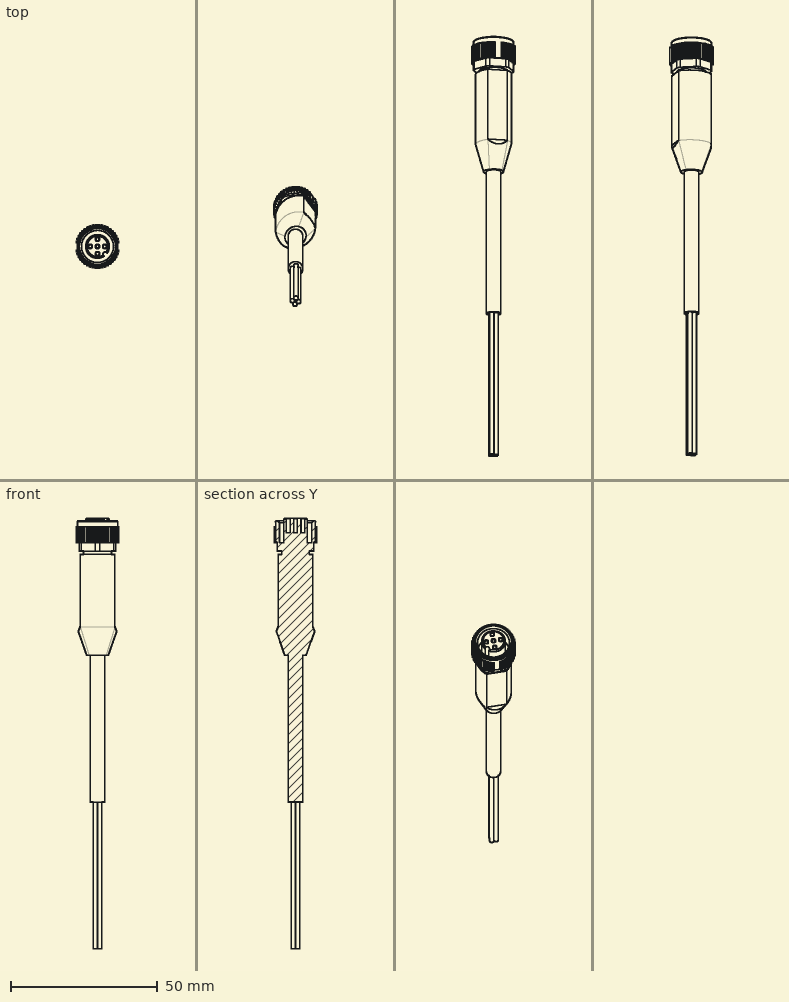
import cadquery as cq
import math


total_length = 146.8
collar_top = -0.9
knurl_top = -2.9
knurl_bottom = -8.4
nut_bottom = -11.25
grip_top = -12.4
grip_bottom = -37.0
cable_length = 50.0
wire_length = 50.0
wire_top = -total_length + wire_length
cable_top = wire_top + cable_length

insert_diameter = 8.05
insert_face_diameter = 7.05
insert_chamfer = (insert_diameter - insert_face_diameter) / 2
outer_contact_count = 4
contact_circle_radius = 2.5
contact_diameter = 1.15
contact_mouth_diameter = 1.5
contact_chamfer = (contact_mouth_diameter - contact_diameter) / 2
contact_depth = 5.0
key_diameter = 1.5
key_radius = 3.7
key_angle = -45

collar_diameter = 13.8
collar_chamfer = 0.3
thread_diameter = 10.92
mouth_diameter = 12.3
mouth_chamfer = (mouth_diameter - thread_diameter) / 2
thread_bottom = knurl_bottom
hex_sides = 6
hex_across_flats = 12.6

knurl_diameter = 14.895
knurl_span_x = 14.62
teeth_per_side = 20
tooth_tip_width = 0.4
tooth_half_tip = math.asin(tooth_tip_width / knurl_diameter)
tip_radius = knurl_diameter / 2
root_radius = collar_diameter / 2
plain_half_angle = math.acos(knurl_span_x / 2 / tip_radius)
tooth_pitch = (math.pi - 2 * plain_half_angle - 2 * tooth_half_tip) / (teeth_per_side - 1)

neck_diameter = 9.6
grip_half_width = 5.93
grip_half_depth = 6.1
grip_corner_y = 3.45
relief_top_half_width = 7.2
relief_bottom_corner_x = 2.85
relief_bottom_corner_y = 2.2
relief_bottom_half_width = 3.7
relief_bottom_half_depth = 3.4
ledge_drop = 1.5
ledge_run = 0.58

cable_diameter = 5.0
wire_diameter = 1.5
wire_gap = 0.02
wire_pitch = wire_diameter + wire_gap


def cylinder(diameter, bottom, top):
    """Solid cylinder on the Z axis between two heights."""
    return cq.Workplane("XY").workplane(offset=bottom).circle(diameter / 2).extrude(top - bottom)


def cone(bottom_diameter, top_diameter, bottom, top):
    """Solid truncated cone on the Z axis between two heights."""
    return (
        cq.Workplane("XY")
        .workplane(offset=bottom)
        .circle(bottom_diameter / 2)
        .workplane(offset=top - bottom)
        .circle(top_diameter / 2)
        .loft(ruled=True)
    )


def polar(radius, angle):
    """X and Y of a point at a radius and an angle in radians."""
    return (radius * math.cos(angle), radius * math.sin(angle))


def knurl():
    """Ring of flat-tipped teeth on the +Y and -Y sides with plain gaps at +X and -X."""
    points = []
    for side_angle in (math.pi / 2, -math.pi / 2):
        for i in range(teeth_per_side):
            angle = side_angle + (i - (teeth_per_side - 1) / 2) * tooth_pitch
            points.append(polar(root_radius, angle - tooth_pitch / 2))
            points.append(polar(tip_radius, angle - tooth_half_tip))
            points.append(polar(tip_radius, angle + tooth_half_tip))
        points.append(polar(root_radius, angle + tooth_pitch / 2))
    plane = cq.Workplane("XY").workplane(offset=knurl_bottom)
    return plane.polyline(points).close().extrude(knurl_top - knurl_bottom)


def coupling_nut():
    """Knurled collar with a plain bore at the thread diameter above a hexagon with rounded corners."""
    collar = cylinder(collar_diameter, knurl_bottom, collar_top).faces(">Z").chamfer(collar_chamfer)
    hexagon = (
        cq.Workplane("XY")
        .workplane(offset=nut_bottom)
        .polygon(hex_sides, hex_across_flats, circumscribed=True)
        .extrude(knurl_bottom - nut_bottom)
        .intersect(cylinder(collar_diameter, nut_bottom, knurl_bottom))
    )
    bore = cylinder(thread_diameter, thread_bottom, collar_top)
    mouth = cone(thread_diameter, mouth_diameter, collar_top - mouth_chamfer, collar_top)
    return collar.union(knurl()).union(hexagon).cut(bore).cut(mouth)


def contact_insert():
    """Five-pole insert with a keyway on its rim."""
    insert = cylinder(insert_diameter, thread_bottom, 0).faces(">Z").chamfer(insert_chamfer)
    contact = cylinder(contact_diameter, -contact_depth, 0).union(
        cone(contact_diameter, contact_mouth_diameter, -contact_chamfer, 0)
    )
    contacts = contact
    for i in range(outer_contact_count):
        x, y = polar(contact_circle_radius, 2 * math.pi * i / outer_contact_count)
        contacts = contacts.union(contact.translate((x, y, 0)))
    keyway = (
        cq.Workplane("XY")
        .center(key_radius, 0)
        .circle(key_diameter / 2)
        .extrude(thread_bottom)
        .rotate((0, 0, 0), (0, 0, 1), key_angle)
    )
    return insert.cut(contacts).cut(keyway)


def draw_four_arcs(plane, corner_x, corner_y, half_width, half_depth):
    """Closed outline of four arcs through four corners."""
    return (
        plane.moveTo(corner_x, corner_y)
        .threePointArc((0, half_depth), (-corner_x, corner_y))
        .threePointArc((-half_width, 0), (-corner_x, -corner_y))
        .threePointArc((0, -half_depth), (corner_x, -corner_y))
        .threePointArc((half_width, 0), (corner_x, corner_y))
        .close()
    )


def grip():
    """Moulded body with curved front and back and a flat on each side."""
    return (
        cq.Workplane("XY")
        .workplane(offset=grip_bottom)
        .moveTo(grip_half_width, grip_corner_y)
        .threePointArc((0, grip_half_depth), (-grip_half_width, grip_corner_y))
        .lineTo(-grip_half_width, -grip_corner_y)
        .threePointArc((0, -grip_half_depth), (grip_half_width, -grip_corner_y))
        .close()
        .extrude(grip_top - grip_bottom)
    )


def strain_relief():
    """Tapered tail whose bulging sides are cut off by a sloping ledge below each flat."""
    tail = cq.Workplane("XY").workplane(offset=grip_bottom)
    tail = draw_four_arcs(tail, grip_half_width, grip_corner_y, relief_top_half_width, grip_half_depth)
    tail = tail.workplane(offset=cable_top - grip_bottom)
    tail = draw_four_arcs(
        tail,
        relief_bottom_corner_x,
        relief_bottom_corner_y,
        relief_bottom_half_width,
        relief_bottom_half_depth,
    ).loft(ruled=True)
    ledge_corner_x = grip_half_width + 2 * ledge_run
    ledge = (
        cq.Workplane("XZ")
        .moveTo(grip_half_width, grip_bottom)
        .lineTo(ledge_corner_x, grip_bottom - 2 * ledge_drop)
        .lineTo(relief_top_half_width + ledge_run, grip_bottom)
        .close()
        .extrude(grip_half_depth, both=True)
    )
    return tail.cut(ledge).cut(ledge.mirror("YZ"))


def wires():
    """Four wire ends in a square, just clear of each other."""
    return (
        cq.Workplane("XY")
        .workplane(offset=wire_top)
        .rarray(wire_pitch, wire_pitch, 2, 2)
        .circle(wire_diameter / 2)
        .extrude(-wire_length)
    )


result = (
    coupling_nut()
    .union(contact_insert())
    .union(cylinder(neck_diameter, grip_top, nut_bottom))
    .union(grip())
    .union(strain_relief())
    .union(cylinder(cable_diameter, wire_top, cable_top))
    .union(wires())
)